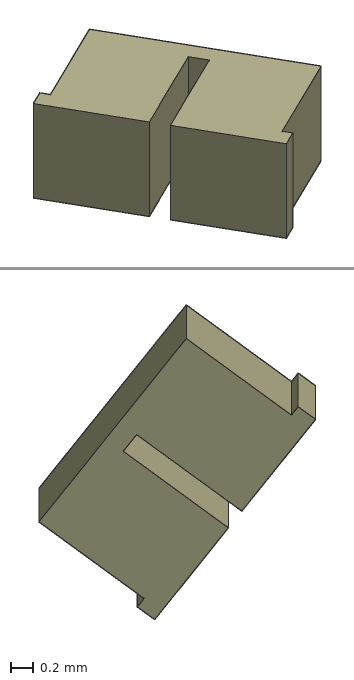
import cadquery as cq

length = 2.4
depth = 1.4
height = 1.0

back_wall = 0.2
slot_width = 0.2
lip_depth = 0.2
lip_overhang = 0.1

body_length = length - 2 * lip_overhang
slot_depth = depth - back_wall


def front_block(block_length, block_depth):
    """Full-height block centred on X, running back from the front face at Y = 0."""
    return cq.Workplane("XY").box(block_length, block_depth, height, centered=(True, False, False))


body = front_block(body_length, depth)
lips = front_block(length, lip_depth)

slot = front_block(slot_width, slot_depth)

result = body.union(lips).cut(slot)